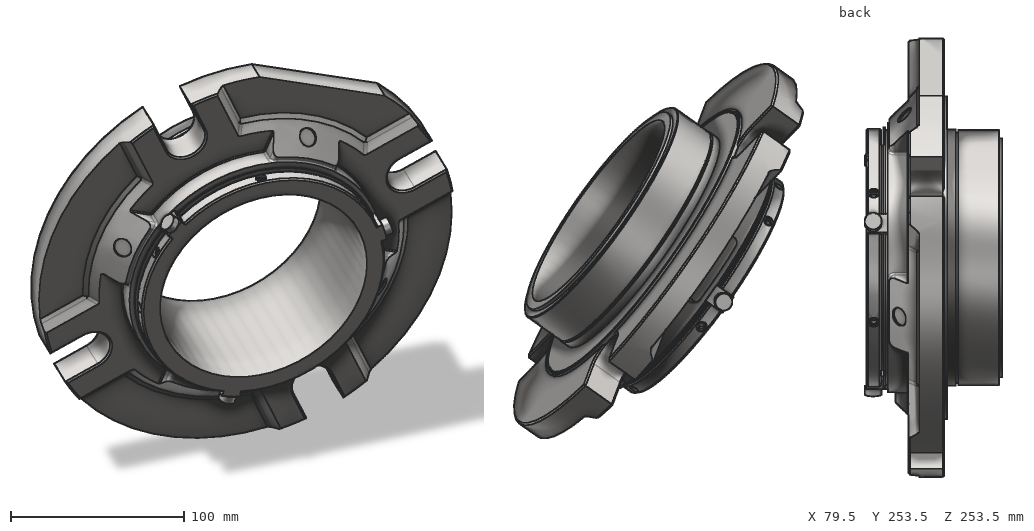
import cadquery as cq
import math

overall_length = 79.5

nose_end = 1.8
sleeve_groove_start = 25.5
sleeve_groove_end = 26.9
pilot_start = 32.0
flange_start = 33.5
flange_floor = 48.0
pad_face = 54.3
boss_face = 65.5
short_boss_face = 61.9
gland_end = 66.2
neck_end = 67.7
clip_ring_end = 68.7
collar_start = 70.0
collar_end = 78.5

bore_d = 127.0
nose_d = 138.2
sleeve_d = 147.5
sleeve_groove_d = 144.8
shoulder_d = 148.0
pilot_d = 186.5
pilot_groove_outer_d = 184.0
pilot_groove_inner_d = 181.8
pilot_groove_depth = 0.8
flange_d = 253.5
gland_d = 155.7
hub_d = 184.0
neck_d = 147.5
clip_ring_d = 150.5
inner_sleeve_d = 130.0
collar_d = 149.0

sleeve_chamfer = 0.5
flange_chamfer = 1.0
collar_chamfer = 1.0
slot_chamfer = 1.0
floor_blend = 1.5
pad_corner_blend = 2.5
gland_base_blend = 0.8
boss_root_blend = 1.5
boss_end_blend = 3.3

first_slot_angle = 68.2
slot_count = 4
sector_angle = 360 / slot_count
slot_angles = [first_slot_angle + i * sector_angle for i in range(slot_count)]
boss_angles = [angle - sector_angle / 2 for angle in slot_angles]
flat_angle = boss_angles[1]
short_boss_angle = boss_angles[3]
clip_angles = [45, 165, 285]
screw_angles = [0, 30, 90, 150, 210, 270, 330]

slot_width = 24.3
slot_bottom_radius = 92.5
pad_top_width = 56.3
pad_base_width = 67.0
flat_distance = 119.7

boss_width = 43.5
port_d = 11.0
port_depth = 1.3
port_stations = {
    boss_angles[0]: 59.5,
    boss_angles[1]: 56.5,
    boss_angles[2]: 59.5,
}

collar_middle = (collar_start + collar_end) / 2
screw_seat_d = 6.0
screw_seat_depth = 1.8
screw_hole_d = 3.8
screw_hole_depth = 5.0
screw_clearance = 2.5
clip_width = 11.2
clip_outer_radius = 77.0
clip_inner_radius = 72.3
cap_d = 10.0
cap_outer_radius = 81.6
cap_station = overall_length - cap_d / 2


def place(body, angle):
    """Turn a body built along -Y to the given angle about X."""
    return body.rotate((0, 0, 0), (1, 0, 0), -angle)


def revolved(profile):
    """Revolve (x, radius) points about the X axis."""
    return cq.Workplane("XY").polyline(profile).close().revolve(360, (0, 0, 0), (1, 0, 0))


def disc(start, end, diameter):
    return cq.Workplane("YZ").workplane(offset=start).circle(diameter / 2).extrude(end - start)


def radial_pin(x, diameter, inner, outer):
    """Cylinder lying along -Y between two radii."""
    return (
        cq.Workplane("XZ", origin=(x, -inner, 0))
        .circle(diameter / 2)
        .extrude(outer - inner)
    )


def radial_box(x_start, x_end, inner, outer, width):
    """Box lying along -Y between two radii, centred on Z = 0."""
    return (
        cq.Workplane("XY")
        .box(x_end - x_start, outer - inner, width)
        .translate(((x_start + x_end) / 2, -(inner + outer) / 2, 0))
    )


def radial_ridge(x_start, x_end, base_width, top_width):
    """Bar of trapezoidal section running along -Y from the X axis past the rim."""
    section = [
        (x_start, -base_width / 2),
        (x_start, base_width / 2),
        (x_end, top_width / 2),
        (x_end, -top_width / 2),
    ]
    return cq.Workplane("XZ").polyline(section).close().extrude(flange_d)


def hub_radius(x):
    """Radius of the 45 degree cone shared by the hub and the bosses."""
    return hub_d / 2 + pad_face - x


def hub_cone(face):
    """Frustum from the flange floor up to a face, coned at 45 degrees."""
    return revolved([
        (flange_floor, 0),
        (flange_floor, hub_radius(flange_floor)),
        (face, hub_radius(face)),
        (face, 0),
    ])


def inside_hub(point):
    return math.hypot(point.y, point.z) < hub_radius(flange_floor)


def slot_outline(x, margin=0):
    """Outline of a round-ended slot open at the rim, widened by a margin."""
    end_radius = slot_width / 2 + margin
    end_centre = slot_bottom_radius + slot_width / 2
    return (
        cq.Workplane("YZ")
        .workplane(offset=x)
        .moveTo(-flange_d, end_radius)
        .lineTo(-end_centre, end_radius)
        .threePointArc((margin - slot_bottom_radius, 0), (-end_centre, -end_radius))
        .lineTo(-flange_d, -end_radius)
        .close()
    )


def make_slot():
    """Slot cutter, flared where it leaves the pad face."""
    slot = slot_outline(pilot_start).extrude(pad_face - pilot_start)
    flare = slot_outline(pad_face, slot_chamfer).extrude(-slot_chamfer, taper=45)
    return slot.union(flare)


def make_flange():
    """Slotted flange with raised pads beside the slots and a central hub."""
    flange = disc(flange_start, flange_floor, flange_d)
    pad_disc = disc(flange_floor, pad_face, flange_d).faces(">X").chamfer(flange_chamfer)
    pad = radial_ridge(flange_floor, pad_face, pad_base_width, pad_top_width)
    for angle in slot_angles:
        flange = flange.union(place(pad, angle).intersect(pad_disc))

    flange = flange.union(hub_cone(pad_face))

    pad_corners = flange.edges("%HYPERBOLA").filter(lambda edge: inside_hub(edge.Center()))
    flange = flange.newObject(pad_corners.vals()).fillet(pad_corner_blend)

    blend_top = flange_floor + floor_blend
    flange = flange.union(revolved([
        (flange_floor, 0),
        (flange_floor, hub_radius(flange_floor) + floor_blend),
        (blend_top, hub_radius(blend_top)),
        (blend_top, 0),
    ]))
    side_slope = (pad_base_width - pad_top_width) / (pad_face - flange_floor)
    foot_base_width = pad_base_width + floor_blend
    foot_top_width = pad_base_width - side_slope * floor_blend
    pad_foot = radial_ridge(flange_floor, blend_top, foot_base_width, foot_top_width)
    rim_disc = disc(flange_floor, blend_top, flange_d)
    for angle in slot_angles:
        flange = flange.union(place(pad_foot, angle).intersect(rim_disc))

    outside_flat = radial_box(flange_start, pad_face, flat_distance, flange_d, flange_d)
    flange = flange.cut(place(outside_flat, flat_angle))

    for angle in slot_angles:
        flange = flange.cut(place(make_slot(), angle))
    return flange.faces("<X").chamfer(flange_chamfer)


def make_boss(face):
    sides = radial_box(flange_floor, face, 0, flange_d, boss_width)
    boss = hub_cone(face).intersect(sides)
    return boss.faces(">X").edges("|Y").fillet(boss_end_blend)


def on_gland_surface(point):
    return math.isclose(math.hypot(point.y, point.z), gland_d / 2, rel_tol=1e-3)


def make_gland():
    """Gland cylinder with its four bosses blended into it and into the pad face."""
    gland = disc(flange_floor, gland_end, gland_d)
    for angle in boss_angles:
        face = short_boss_face if angle == short_boss_angle else boss_face
        gland = gland.union(place(make_boss(face), angle))
    boss_roots = gland.edges("|X").filter(lambda edge: on_gland_surface(edge.Center()))
    gland = gland.newObject(boss_roots.vals()).fillet(boss_root_blend)

    blend_top = pad_face + gland_base_blend
    gland = gland.union(revolved([
        (pad_face, 0),
        (pad_face, gland_d / 2 + gland_base_blend),
        (blend_top, gland_d / 2),
        (blend_top, 0),
    ]))
    boss_foot = radial_ridge(pad_face, blend_top, boss_width + 2 * gland_base_blend, boss_width)
    for angle in boss_angles:
        gland = gland.union(place(boss_foot, angle).intersect(hub_cone(blend_top)))
    return gland


def make_port(station):
    """Shallow round recess sunk square into the boss cone."""
    mouth = cq.Vector(station, -hub_radius(station), 0)
    outward = cq.Vector(1, -1, 0).normalized()
    clearance = port_d
    start = mouth + outward * clearance
    return cq.Workplane(
        cq.Solid.makeCylinder(port_d / 2, port_depth + clearance, start, outward * -1)
    )


def make_turned_core():
    """Sleeve, grooved pilot, clip ring and drive collar, before boring."""
    return revolved([
        (0, 0),
        (0, nose_d / 2),
        (nose_end, nose_d / 2),
        (nose_end, sleeve_d / 2 - sleeve_chamfer),
        (nose_end + sleeve_chamfer, sleeve_d / 2),
        (sleeve_groove_start, sleeve_d / 2),
        (sleeve_groove_start, sleeve_groove_d / 2),
        (sleeve_groove_end, sleeve_groove_d / 2),
        (sleeve_groove_end, shoulder_d / 2),
        (pilot_start, shoulder_d / 2),
        (pilot_start, pilot_groove_inner_d / 2),
        (pilot_start + pilot_groove_depth, pilot_groove_inner_d / 2),
        (pilot_start + pilot_groove_depth, pilot_groove_outer_d / 2),
        (pilot_start, pilot_groove_outer_d / 2),
        (pilot_start, pilot_d / 2),
        (flange_start + flange_chamfer, pilot_d / 2),
        (flange_start + flange_chamfer, neck_d / 2),
        (neck_end, neck_d / 2),
        (neck_end, clip_ring_d / 2),
        (clip_ring_end, clip_ring_d / 2),
        (clip_ring_end, inner_sleeve_d / 2),
        (collar_start, inner_sleeve_d / 2),
        (collar_start, collar_d / 2 - collar_chamfer),
        (collar_start + collar_chamfer, collar_d / 2),
        (collar_end - collar_chamfer, collar_d / 2),
        (collar_end, collar_d / 2 - collar_chamfer),
        (collar_end, 0),
    ])


def make_clip():
    """Setting clip bridging the clip ring and collar, with its screw cap."""
    bar = radial_box(gland_end, collar_end, clip_inner_radius, clip_outer_radius, clip_width)
    return bar.union(radial_pin(cap_station, cap_d, clip_outer_radius, cap_outer_radius))


def make_screw_recess():
    surface = collar_d / 2
    seat_floor = surface - screw_seat_depth
    seat = radial_pin(collar_middle, screw_seat_d, seat_floor, surface + screw_clearance)
    return seat.union(radial_pin(collar_middle, screw_hole_d, surface - screw_hole_depth, surface))


result = make_flange().union(make_gland()).union(make_turned_core())

for angle, station in port_stations.items():
    result = result.cut(place(make_port(station), angle))

for angle in clip_angles:
    result = result.union(place(make_clip(), angle))

for angle in screw_angles:
    result = result.cut(place(make_screw_recess(), angle))

result = result.cut(disc(0, collar_end, bore_d))